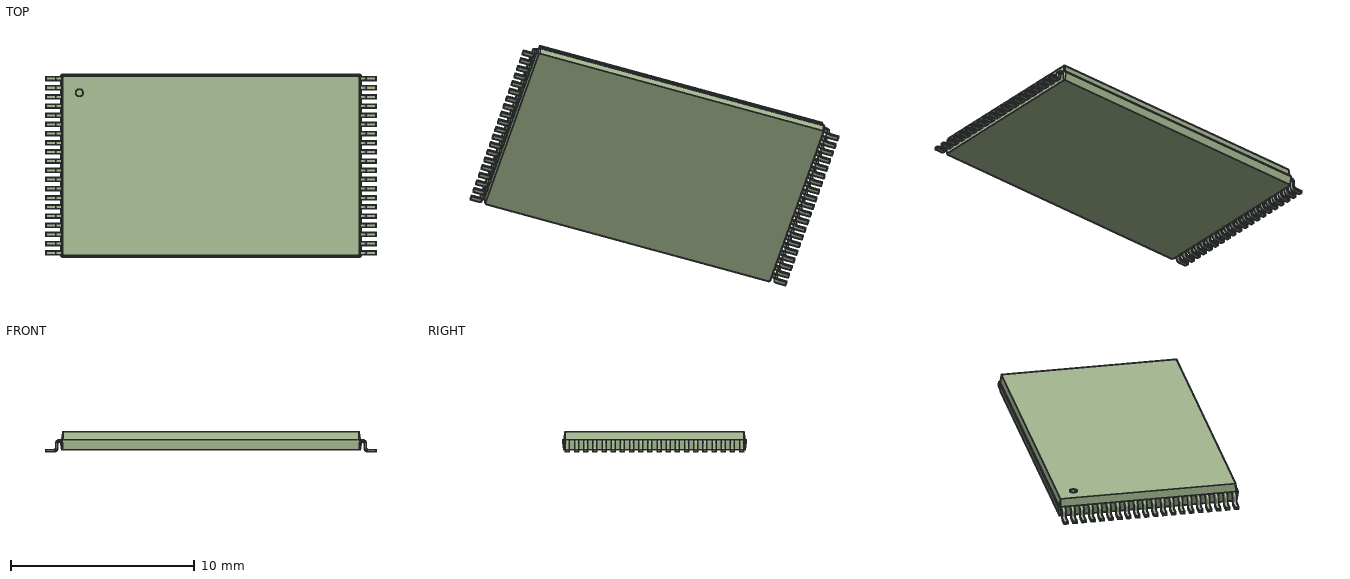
import cadquery as cq
import math

overall_length = 18.0
body_length = 16.4
body_width = 10.0
body_bottom = 0.1
body_top = 1.1
corner_chamfer = 0.1
side_taper = 8.0
upper_ledge = 0.06

lead_count = 20
lead_pitch = 0.5
lead_width = 0.22
lead_thickness = 0.12
lead_top = 0.65
lead_embed = 0.3
shank_x = 8.47
inner_bend_radius = 0.08
outer_bend_radius = inner_bend_radius + lead_thickness

mark_diameter = 0.4
mark_depth = 0.05
mark_edge_distance = 0.9

band_bottom = lead_top - lead_thickness
band_top = lead_top

taper_slope = math.tan(math.radians(side_taper))
bottom_inset = (band_bottom - body_bottom) * taper_slope
top_inset = upper_ledge + (body_top - band_top) * taper_slope


def body_section(z, inset):
    """Chamfered rectangle at height z, every side drawn in from the body outline by inset."""
    half_x = body_length / 2 - inset
    half_y = body_width / 2 - inset
    chamfer = corner_chamfer - inset * (2 - math.sqrt(2))
    cut_x = half_x - chamfer
    cut_y = half_y - chamfer
    return cq.Wire.makePolygon(
        [
            cq.Vector(half_x, -cut_y, z),
            cq.Vector(half_x, cut_y, z),
            cq.Vector(cut_x, half_y, z),
            cq.Vector(-cut_x, half_y, z),
            cq.Vector(-half_x, cut_y, z),
            cq.Vector(-half_x, -cut_y, z),
            cq.Vector(-cut_x, -half_y, z),
            cq.Vector(cut_x, -half_y, z),
        ],
        close=True,
    )


def body_layer(z_low, inset_low, z_high, inset_high):
    """Ruled solid between two body sections."""
    sections = [body_section(z_low, inset_low), body_section(z_high, inset_high)]
    return cq.Workplane(cq.Solid.makeLoft(sections, True))


def make_body():
    lower = body_layer(body_bottom, bottom_inset, band_bottom, 0)
    band = body_layer(band_bottom, 0, band_top, 0)
    upper = body_layer(band_top, upper_ledge, body_top, top_inset)
    return lower.union(band).union(upper)


def make_pin_mark():
    """Round recess in the top face near the pin 1 corner."""
    mark_x = -body_length / 2 + top_inset + mark_edge_distance
    mark_y = body_width / 2 - top_inset - mark_edge_distance
    return (
        cq.Workplane("XY", origin=(mark_x, mark_y, body_top - mark_depth))
        .circle(mark_diameter / 2)
        .extrude(mark_depth)
    )


def make_lead():
    """Gull-wing lead for the +X end, centred on y = 0."""
    root_x = body_length / 2 - lead_embed
    shank_inner_x = shank_x - lead_thickness
    toe_x = overall_length / 2
    lead = (
        cq.Workplane("XZ", origin=(0, lead_width / 2, 0))
        .moveTo(root_x, lead_top)
        .lineTo(shank_x, lead_top)
        .lineTo(shank_x, lead_thickness)
        .lineTo(toe_x, lead_thickness)
        .lineTo(toe_x, 0)
        .lineTo(shank_inner_x, 0)
        .lineTo(shank_inner_x, lead_top - lead_thickness)
        .lineTo(root_x, lead_top - lead_thickness)
        .close()
        .extrude(lead_width)
    )
    outer_corners = [(shank_x, lead_top), (shank_inner_x, 0)]
    inner_corners = [(shank_x, lead_thickness), (shank_inner_x, lead_top - lead_thickness)]
    for corners, radius in ((outer_corners, outer_bend_radius), (inner_corners, inner_bend_radius)):
        for x, z in corners:
            lead = lead.edges(cq.NearestToPointSelector((x, 0, z))).fillet(radius)
    return lead


def make_lead_row():
    first_y = -lead_pitch * (lead_count - 1) / 2
    lead = make_lead()
    row = cq.Workplane()
    for index in range(lead_count):
        row = row.add(lead.translate((0, first_y + index * lead_pitch, 0)))
    return row.combine()


lead_row = make_lead_row()
result = make_body().cut(make_pin_mark()).union(lead_row).union(lead_row.mirror("YZ"))